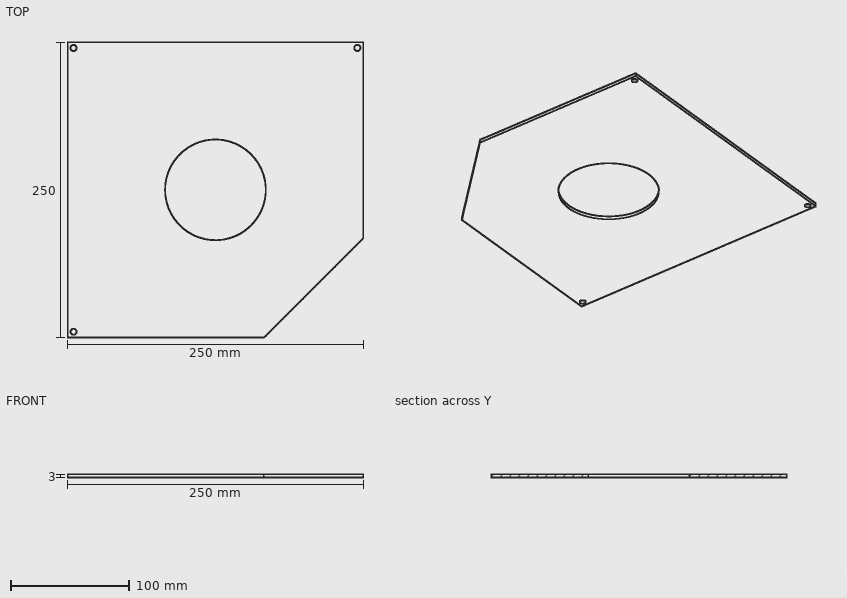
import cadquery as cq

SIDE = 250.0
THICKNESS = 3.0
CORNER_CUT = 84.0
OPENING_DIAMETER = 85.0
MOUNT_HOLE_DIAMETER = 5.0
MOUNT_HOLE_INSET = 5.0

HALF_SIDE = SIDE / 2
HOLE_OFFSET = HALF_SIDE - MOUNT_HOLE_INSET


def make_plate():
    """Square plate with its +X, -Y corner cut off at 45 degrees."""
    outline = [
        (-HALF_SIDE, -HALF_SIDE),
        (HALF_SIDE - CORNER_CUT, -HALF_SIDE),
        (HALF_SIDE, -HALF_SIDE + CORNER_CUT),
        (HALF_SIDE, HALF_SIDE),
        (-HALF_SIDE, HALF_SIDE),
    ]
    return cq.Workplane("XY").polyline(outline).close().extrude(THICKNESS)


def cut_opening(plate):
    """Large round opening through the centre of the square."""
    return plate.faces(">Z").workplane(origin=(0, 0, THICKNESS)).hole(OPENING_DIAMETER)


def cut_mount_holes(plate):
    """Small through holes in the three full corners."""
    centres = [
        (-HOLE_OFFSET, -HOLE_OFFSET),
        (-HOLE_OFFSET, HOLE_OFFSET),
        (HOLE_OFFSET, HOLE_OFFSET),
    ]
    top = plate.faces(">Z").workplane(origin=(0, 0, THICKNESS))
    return top.pushPoints(centres).hole(MOUNT_HOLE_DIAMETER)


result = cut_mount_holes(cut_opening(make_plate()))